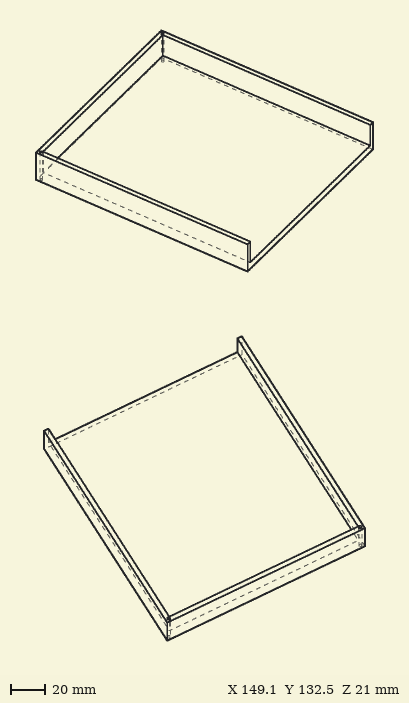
import cadquery as cq

length = 149.1
width = 132.5
height = 21.0

wall = 3.0
floor = 5.0

hole_diameter = 1.6
hole_inset = 2.1


def make_tray():
    """Shallow tray with three walls, open on the +X side."""
    block = cq.Workplane("XY").box(length, width, height, centered=(False, True, False))
    cavity = (
        cq.Workplane("XY")
        .box(length - wall, width - 2 * wall, height - floor, centered=(False, True, False))
        .translate((wall, 0, floor))
    )
    return block.cut(cavity)


def make_corner_holes():
    """Cylinders for the holes, one in each corner at the closed end."""
    hole_y = width / 2 - hole_inset
    return (
        cq.Workplane("XY")
        .pushPoints([(hole_inset, side * hole_y) for side in (-1, 1)])
        .circle(hole_diameter / 2)
        .extrude(height)
    )


result = make_tray().cut(make_corner_holes())